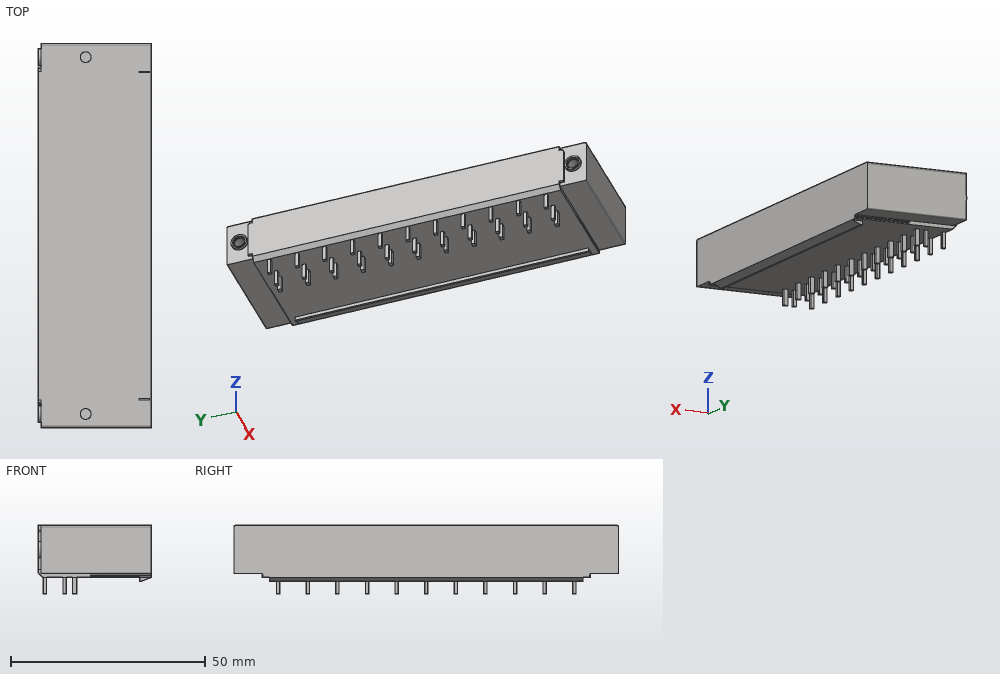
import cadquery as cq


depth = 29.2
length = 99.1
overall_height = 17.7
flange_depth = 0.8

block_height = 12.5
top_edge_fillet = 0.5
bottom_edge_fillet = 0.2
screw_offset = 3.6
screw_y = length / 2 - screw_offset

body_length = 84.6
body_height = 13.5
body_chamfer = 1.2

flange_length = 87.0
flange_top = 1.2
flange_bottom = 11.4
flange_chamfer = 0.5

sleeve_radius = 2.2
sleeve_z = -6.3
bore_radius = 1.4
bore_depth = 5.9
counterbore_radius = 1.7
counterbore_depth = 0.5
top_hole_x = 12.3
top_hole_radius = 1.4
top_hole_depth = 3.0

latch_length = 80.8
latch_x = 26.2
latch_drop = 1.0
latch_tip_width = 0.5

slot_start_x = 26.0
slot_end_x = 28.7
slot_width = 0.3
slot_depth = 0.5
groove_start_x = 13.6
groove_top = 12.8
groove_height = 0.3
groove_depth = 0.3

pin_count = 11
pin_pitch = 7.6
pin_width = 0.9
pin_rows = [(1.8, 0.9), (6.8, 0.9), (9.4, 1.2)]
pin_embed = 1.0


def box(x_range, y_range, z_range):
    """Box spanning the given (low, high) ranges."""
    sizes = [high - low for low, high in (x_range, y_range, z_range)]
    corner = (x_range[0], y_range[0], z_range[0])
    return cq.Workplane("XY").box(*sizes, centered=False).translate(corner)


def centred(width):
    """Range of the given width centred on zero."""
    return (-width / 2, width / 2)


def make_blocks():
    """Full-length bar whose exposed ends are the mounting blocks."""
    bar = box((flange_depth, depth), centred(length), (-block_height, 0))
    bar = bar.edges("|X and >Z").fillet(top_edge_fillet)
    return bar.edges("|X and <Z").fillet(bottom_edge_fillet)


def make_body():
    body = box((0, depth), centred(body_length), (-body_height, 0))
    return body.edges("<X and <Z").chamfer(body_chamfer)


def make_flange():
    flange = box((0, flange_depth), centred(flange_length), (-flange_bottom, -flange_top))
    return flange.edges("|X and >Z").chamfer(flange_chamfer)


def make_latch():
    """Wedge-shaped strip that tapers to nothing at the rear face."""
    profile = [
        (latch_x, -body_height),
        (latch_x, -body_height - latch_drop),
        (latch_x + latch_tip_width, -body_height - latch_drop),
        (depth, -body_height),
    ]
    return cq.Workplane("XZ").polyline(profile).close().extrude(latch_length / 2, both=True)


def make_pins():
    pins = cq.Workplane("XY")
    for row_x, row_width in pin_rows:
        for index in range(pin_count):
            y = (index - (pin_count - 1) / 2) * pin_pitch
            pin = box(
                (row_x - row_width / 2, row_x + row_width / 2),
                (y - pin_width / 2, y + pin_width / 2),
                (-overall_height, -body_height + pin_embed),
            )
            pins = pins.add(pin)
    return pins.combine()


def front_cylinder(y, radius, cylinder_depth):
    """Cylinder running back from the front plane at screw height."""
    return cq.Workplane("YZ").center(y, sleeve_z).circle(radius).extrude(cylinder_depth)


def add_sleeve(part, y):
    """Round sleeve with a counterbored blind bore."""
    part = part.union(front_cylinder(y, sleeve_radius, 2 * flange_depth))
    part = part.cut(front_cylinder(y, bore_radius, bore_depth))
    return part.cut(front_cylinder(y, counterbore_radius, counterbore_depth))


def cut_top_hole(part, y):
    hole = cq.Workplane("XY").center(top_hole_x, y).circle(top_hole_radius).extrude(-top_hole_depth)
    return part.cut(hole)


def cut_side_recess(part, side, x_range, width, z_range):
    """Cut a narrow recess inward from one end face of the body."""
    end_face = side * body_length / 2
    y_range = sorted((end_face, end_face - side * width))
    return part.cut(box(x_range, y_range, z_range))


result = make_blocks().union(make_body()).union(make_flange()).union(make_latch()).union(make_pins())

for side in (-1, 1):
    result = add_sleeve(result, side * screw_y)
    result = cut_top_hole(result, side * screw_y)
    slot_x = (slot_start_x, slot_end_x)
    result = cut_side_recess(result, side, slot_x, slot_width, (-slot_depth, 0))
    groove_x = (groove_start_x, depth)
    groove_z = (-groove_top - groove_height, -groove_top)
    result = cut_side_recess(result, side, groove_x, groove_depth, groove_z)